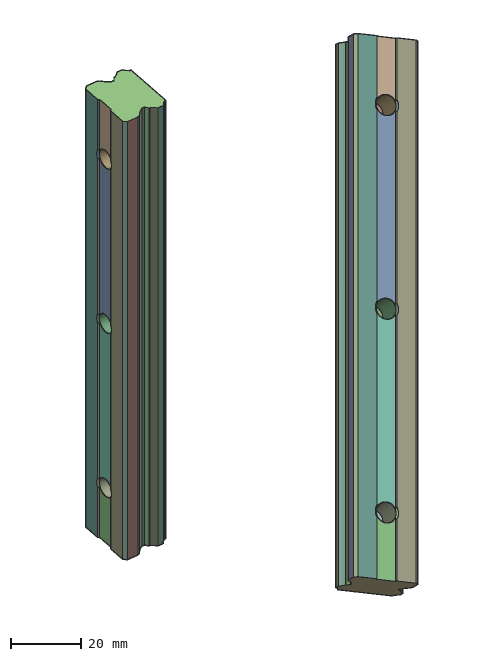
import cadquery as cq

width = 20.0
height = 15.5
length = 160.0
half_width = width / 2
half_height = height / 2

shoulder_inset = 1.5
shoulder_step = 0.5
shoulder_bottom = 2.0
upper_race_top = 3.8
upper_race_inset = 1.5
upper_race_bottom = 5.6
ledge_drop = 6.0
groove_depth = 2.5
groove_floor_top = 6.7
groove_floor_bottom = 7.5
lower_race_inset = 0.5
lower_race_bottom = 10.0
lip_bottom = 10.9
base_chamfer = 1.0

shoulder_hollow = 0.2
upper_race_hollow = 0.1
lower_race_hollow = 0.24

relief_mouth_width = 6.2
relief_floor_width = 5.6
relief_depth = 0.5

hole_diameter = 6.0
hole_depth = 10.0
hole_mouth_diameter = 7.2
hole_count = 3
hole_pitch = 60.0


def profile_point(inset, drop):
    """Section point on the +X side, from its inset and drop."""
    return half_width - inset, half_height - drop


def hollow_arc(outline, end, hollow):
    """Add an arc to `end`, bowed to the right of travel by `hollow`."""
    start = outline.val().endPoint()
    end = cq.Vector(*end)
    direction = (end - start).normalized()
    bow = cq.Vector(direction.y, -direction.x, 0) * hollow
    middle = (start + end) * 0.5 + bow
    return outline.threePointArc(middle.toTuple()[:2], end.toTuple()[:2])


def make_rail():
    """Extrude half the section along Z and mirror it to the other side."""
    outline = (
        cq.Workplane("XY")
        .moveTo(0, half_height)
        .lineTo(*profile_point(shoulder_inset, 0))
        .lineTo(*profile_point(shoulder_inset, shoulder_step))
    )
    outline = hollow_arc(outline, profile_point(0, shoulder_bottom), shoulder_hollow)
    outline = outline.lineTo(*profile_point(0, upper_race_top))
    outline = hollow_arc(outline, profile_point(upper_race_inset, upper_race_bottom), upper_race_hollow)
    outline = (
        outline
        .lineTo(*profile_point(upper_race_inset, ledge_drop))
        .lineTo(*profile_point(groove_depth, groove_floor_top))
        .lineTo(*profile_point(groove_depth, groove_floor_bottom))
    )
    outline = hollow_arc(outline, profile_point(lower_race_inset, lower_race_bottom), lower_race_hollow)
    outline = (
        outline
        .lineTo(*profile_point(0, lip_bottom))
        .lineTo(*profile_point(0, height - base_chamfer))
        .lineTo(*profile_point(base_chamfer, height))
        .lineTo(relief_mouth_width / 2, -half_height)
        .lineTo(relief_floor_width / 2, relief_depth - half_height)
        .lineTo(0, relief_depth - half_height)
        .close()
    )
    half_rail = outline.extrude(length / 2, both=True)
    return half_rail.union(half_rail.mirror("YZ")).clean()


def make_hole(z):
    """Blind hole running in +Y from the mounting face, with a 45 degree mouth."""
    radius = hole_diameter / 2
    mouth_radius = hole_mouth_diameter / 2
    mouth_depth = mouth_radius - radius
    start = cq.Vector(0, -half_height, z)
    inward = cq.Vector(0, 1, 0)
    bore = cq.Solid.makeCylinder(radius, hole_depth, start, inward)
    mouth = cq.Solid.makeCone(mouth_radius, radius, mouth_depth, start, inward)
    return bore.fuse(mouth)


result = make_rail()
for index in range(hole_count):
    hole_z = (index - (hole_count - 1) / 2) * hole_pitch
    result = result.cut(cq.Workplane(obj=make_hole(hole_z)))